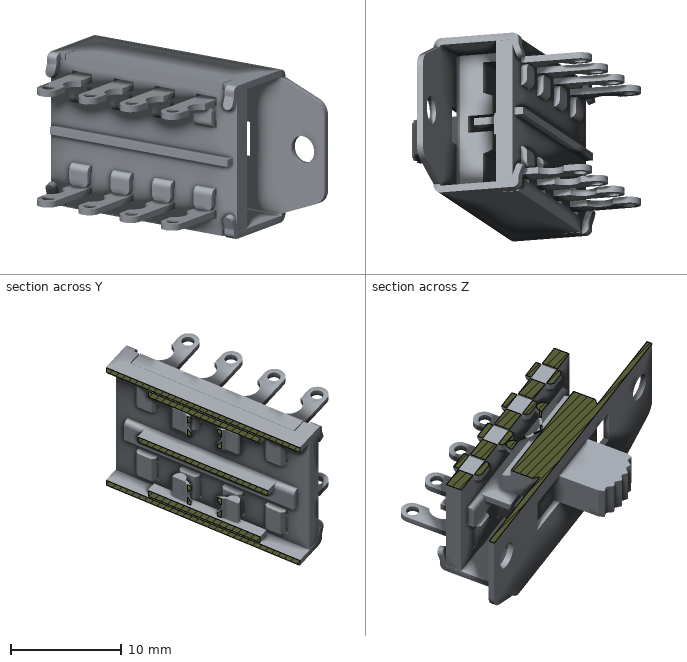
import cadquery as cq


overall_length = 30.23
frame_length = 20.75
frame_height = 14.4
plate_thickness = 0.57
wall_thickness = 0.63
wall_end_y = -7.5
bend_radius = 0.73
inner_bend_radius = 0.15
flange_root_height = 12.75
flange_tip_height = 9.07
flange_corner_radius = 1.48
mount_hole_diameter = 2.55
mount_hole_spacing = 25.4
window_length = 13.72
window_height = 3.4

ear_width = 1.03
ear_thickness = 0.57
ear_pivot_z = 6.15
ear_blade_length = 1.33
ear_lean_degrees = 19.0
ear_bend_radius = 0.55

board_back_y = -6.0
board_thickness = 1.57
board_length = 20.68
board_tab_length = 17.38
notch_length = 17.6
notch_clearance = 0.03

terminal_pitch = 4.6
terminals_per_row = 4
terminal_width = 2.03
terminal_thickness = 0.57
terminal_top_z = 5.5
terminal_bottom_z = 2.85
terminal_end_y = -13.95
terminal_hole_diameter = 1.18
terminal_hole_y = -12.85
contact_base_thickness = 0.63
contact_base_chamfer = 0.27
bite_radius = 1.4
bite_depth = 0.8
bite_y = -10.43
clinch_tip_z = 4.87
clinch_bend_radius = 0.63
clinch_tip_radius = 0.55
slot_width = 2.25
leg_slot_height = 0.85
clinch_slot_height = 0.8
clinch_slot_clearance = 0.03

barrier_length = 19.65
barrier_inner_length = 13.9
barrier_foot_length = 18.15
barrier_thickness = 0.65
barrier_back_y = -2.72
barrier_front_y = -8.4
barrier_foot_z = -1.85
barrier_foot_radius = 0.5

slider_x = -0.12
slider_length = 12.0
slider_height = 12.88
slider_chamfer = 0.48
slider_skirt_y = -5.38
slider_rib_y = -4.2
channel_floor_y = -3.3
channel_top_z = 5.68
channel_bottom_z = 2.85
rib_flank_z = 2.5
center_slot_height = 1.57
center_slot_floor_y = -1.85
knob_width = 5.55
knob_height = 3.23
knob_shoulder_y = 4.02
knob_valley_y = 4.9
knob_serrations = [(0.55, 5.3), (1.05, 4.8), (1.6, 5.02), (2.03, 4.45), (2.6, 4.55)]
post_width = 0.9
post_tip_y = -4.23
post_tip_radius = 0.18

bridge_width = 2.35
bridge_thickness = 0.18
bridge_crown = 0.12
bridge_ramp_run = 2.15
bridge_shelf_y = -4.53
bridge_half_length = 3.5
bridge_foot_length = 1.27
bridge_hole_diameter = 1.6

half_frame = frame_length / 2
half_height = frame_height / 2
board_height = frame_height - 2 * wall_thickness
board_front_y = board_back_y - board_thickness
contact_base_y = board_back_y + contact_base_thickness
row_z = (terminal_top_z + terminal_bottom_z) / 2
bridge_ramp_x = (bridge_crown + bridge_ramp_run) / 2
row_xs = [(i - (terminals_per_row - 1) / 2) * terminal_pitch for i in range(terminals_per_row)]


def box(x_range, y_range, z_range):
    """Box between two values on each axis, given in either order."""
    (x0, x1), (y0, y1), (z0, z1) = (sorted(pair) for pair in (x_range, y_range, z_range))
    return cq.Workplane("XY").box(x1 - x0, y1 - y0, z1 - z0, centered=False).translate((x0, y0, z0))


def centered_box(length, y_range, height):
    """Box centered on the Y axis."""
    return box((-length / 2, length / 2), y_range, (-height / 2, height / 2))


def extrude_along_x(points, length):
    """Extrude a closed (Y, Z) outline to both sides of X = 0."""
    return cq.Workplane("YZ").polyline(points).close().extrude(length / 2, both=True)


def cylinder_along_y(diameter, x, z, y_from, y_to):
    """Round bar parallel to Y."""
    plane = cq.Workplane("XZ", origin=(x, y_from, z))
    return plane.circle(diameter / 2).extrude(y_from - y_to)


def upright_cylinder(diameter, x, y, z_range):
    """Round bar parallel to Z."""
    plane = cq.Workplane("XY", origin=(x, y, z_range[0]))
    return plane.circle(diameter / 2).extrude(z_range[1] - z_range[0])


def half_turn(body):
    """Copy of a body turned 180 degrees about the Y axis."""
    return body.rotate((0, 0, 0), (0, 1, 0), 180)


def make_flange_plate():
    root_z = flange_root_height / 2
    tip_z = flange_tip_height / 2
    tip_x = overall_length / 2
    outline = [(half_frame, root_z), (tip_x, tip_z), (tip_x, -tip_z), (half_frame, -root_z)]
    outline += [(-x, -z) for x, z in outline]
    plate = cq.Workplane("XZ").polyline(outline).close().extrude(plate_thickness)
    plate = plate.edges("|Y and (>X or <X)").fillet(flange_corner_radius)
    for side in (-1, 1):
        hole_x = side * mount_hole_spacing / 2
        plate = plate.cut(cylinder_along_y(mount_hole_diameter, hole_x, 0, 0, -plate_thickness))
    return plate


def make_channel():
    outer = centered_box(frame_length, (0, wall_end_y), frame_height)
    outer = outer.edges("|X and >Y").fillet(bend_radius)
    inner = centered_box(frame_length, (-plate_thickness, wall_end_y), board_height)
    inner = inner.edges("|X and >Y").fillet(inner_bend_radius)
    notch = centered_box(notch_length, (board_back_y + notch_clearance, wall_end_y), frame_height)
    return outer.cut(inner).cut(notch)


def make_ear():
    """Ear at the -X end of the top wall: a bend over the board edge, then a blade leaning away from it."""
    ear_x = -half_frame + ear_width / 2
    x_range = (-half_frame, -half_frame + ear_width)
    outer_y = board_front_y - ear_thickness

    bend = box(x_range, (board_back_y, outer_y), (ear_pivot_z, half_height))
    bend = bend.edges("|X and <Y and >Z").fillet(ear_bend_radius)
    bend = bend.cut(box(x_range, (board_back_y, board_front_y), (ear_pivot_z, board_height / 2)))

    tip_center_z = ear_pivot_z - ear_blade_length + ear_width / 2
    blade = box(x_range, (board_front_y, outer_y), (tip_center_z, ear_pivot_z))
    blade = blade.union(cylinder_along_y(ear_width, ear_x, tip_center_z, board_front_y, outer_y))
    pivot_start = (0, board_front_y, ear_pivot_z)
    pivot_end = (1, board_front_y, ear_pivot_z)
    blade = blade.rotate(pivot_start, pivot_end, -ear_lean_degrees)
    return bend.union(blade)


def make_frame():
    frame = make_flange_plate().union(make_channel())
    frame = frame.cut(centered_box(window_length, (0, -plate_thickness), window_height))
    ear = make_ear()
    for top_ear in (ear, ear.mirror("YZ")):
        frame = frame.union(top_ear).union(top_ear.mirror("XY"))
    return frame


def make_board():
    board_span = (board_back_y, board_front_y)
    board = centered_box(board_length, board_span, board_height)
    board = board.union(centered_box(board_tab_length, board_span, frame_height))
    leg_slot_z = terminal_top_z - terminal_thickness
    clinch_slot_z = terminal_bottom_z - clinch_slot_clearance
    for x in row_xs:
        slot_x = (x - slot_width / 2, x + slot_width / 2)
        leg_slot = box(slot_x, board_span, (leg_slot_z, leg_slot_z + leg_slot_height))
        clinch_slot = box(slot_x, board_span, (clinch_slot_z, clinch_slot_z + clinch_slot_height))
        for slot in (leg_slot, clinch_slot):
            board = board.cut(slot).cut(half_turn(slot))
    return board


def make_barrier():
    outer_blade = centered_box(barrier_length, (board_back_y, barrier_front_y), barrier_thickness)
    inner_blade = centered_box(barrier_inner_length, (barrier_back_y, board_back_y), barrier_thickness)
    foot = box(
        (-barrier_foot_length / 2, barrier_foot_length / 2),
        (contact_base_y, board_back_y),
        (barrier_foot_z, barrier_thickness / 2),
    )
    foot = foot.edges("|X and >Y and >Z").fillet(barrier_foot_radius)
    return outer_blade.union(inner_blade).union(foot)


def make_terminal(x):
    """Terminal of the upper row: contact base, solder leg and clinched holding tab."""
    x_range = (x - terminal_width / 2, x + terminal_width / 2)

    base = box(x_range, (contact_base_y, board_back_y), (terminal_bottom_z, terminal_top_z))
    base = base.edges("|Z and >Y").chamfer(contact_base_chamfer)

    leg_z = (terminal_top_z - terminal_thickness, terminal_top_z)
    end_center_y = terminal_end_y + terminal_width / 2
    leg = box(x_range, (board_back_y, end_center_y), leg_z)
    leg = leg.union(upright_cylinder(terminal_width, x, end_center_y, leg_z))
    bite_x = x_range[1] - bite_depth + bite_radius
    leg = leg.cut(upright_cylinder(terminal_hole_diameter, x, terminal_hole_y, leg_z))
    leg = leg.cut(upright_cylinder(2 * bite_radius, bite_x, bite_y, leg_z))

    clinch_y = board_front_y - terminal_thickness
    stem_z = (terminal_bottom_z, terminal_bottom_z + terminal_thickness)
    clinch = box(x_range, (board_front_y, clinch_y), (terminal_bottom_z, clinch_tip_z))
    clinch = clinch.edges("|Y and >Z").fillet(clinch_tip_radius)
    clinch = clinch.union(box(x_range, (board_back_y, clinch_y), stem_z))
    clinch = clinch.edges("|X and <Y and <Z").fillet(clinch_bend_radius)
    return base.union(leg).union(clinch)


def make_slider():
    half_slot = center_slot_height / 2
    top_z = slider_height / 2
    upper_half = [
        (center_slot_floor_y, half_slot),
        (slider_rib_y, half_slot),
        (slider_rib_y, rib_flank_z),
        (channel_floor_y, channel_bottom_z),
        (channel_floor_y, channel_top_z),
        (slider_skirt_y, channel_top_z),
        (slider_skirt_y, top_z),
        (-plate_thickness, top_z),
    ]
    lower_half = [(y, -z) for y, z in reversed(upper_half)]
    slider = extrude_along_x(upper_half + lower_half, slider_length)
    slider = slider.edges("|Z and >Y").chamfer(slider_chamfer)
    half_post = post_width / 2
    for post_x in (-bridge_ramp_x, bridge_ramp_x):
        post = box(
            (post_x - half_post, post_x + half_post),
            (channel_floor_y, post_tip_y),
            (row_z - half_post, row_z + half_post),
        )
        post = post.edges("|X and <Y").fillet(post_tip_radius)
        slider = slider.union(post).union(half_turn(post))
    return slider.translate((slider_x, 0, 0))


def make_knob():
    """Knob with finger serrations across its end."""
    right_side = knob_serrations + [
        (knob_width / 2, knob_shoulder_y),
        (knob_width / 2, -plate_thickness),
    ]
    middle_valley = (0, knob_valley_y)
    left_side = [(-x, y) for x, y in reversed(right_side)]
    outline = left_side + [middle_valley] + right_side
    knob = cq.Workplane("XY").polyline(outline).close().extrude(knob_height / 2, both=True)
    return knob.translate((slider_x, 0, 0))


def make_bridge():
    """Upper bridging contact: a V-shaped spring strip standing on two rounded feet."""
    shelf_x = bridge_crown / 2 + bridge_ramp_run
    foot_x = bridge_half_length - bridge_foot_length
    foot_mid_x = bridge_half_length - bridge_foot_length / 2
    under_y = bridge_shelf_y - bridge_thickness
    strip = (
        cq.Workplane("XY")
        .moveTo(-bridge_crown / 2, channel_floor_y)
        .lineTo(bridge_crown / 2, channel_floor_y)
        .lineTo(shelf_x, bridge_shelf_y)
        .lineTo(bridge_half_length, bridge_shelf_y)
        .lineTo(bridge_half_length, under_y)
        .threePointArc((foot_mid_x, contact_base_y), (foot_x, under_y))
        .lineTo(shelf_x - bridge_thickness, under_y)
        .lineTo(0, channel_floor_y - bridge_thickness)
        .lineTo(-shelf_x + bridge_thickness, under_y)
        .lineTo(-foot_x, under_y)
        .threePointArc((-foot_mid_x, contact_base_y), (-bridge_half_length, under_y))
        .lineTo(-bridge_half_length, bridge_shelf_y)
        .lineTo(-shelf_x, bridge_shelf_y)
        .close()
        .extrude(bridge_width / 2, both=True)
    )
    strip = strip.translate((0, 0, row_z))
    ramp_drop = channel_floor_y - bridge_shelf_y
    ramp_y = (channel_floor_y + bridge_shelf_y) / 2
    for side in (-1, 1):
        hole_plane = cq.Plane(
            origin=(side * bridge_ramp_x, ramp_y, row_z),
            xDir=(0, 0, 1),
            normal=(side * ramp_drop, bridge_ramp_run, 0),
        )
        hole = cq.Workplane(hole_plane).circle(bridge_hole_diameter / 2)
        hole = hole.extrude(2 * bridge_thickness, both=True)
        strip = strip.cut(hole)
    return strip


result = make_frame().union(make_board()).union(make_barrier())
for terminal_x in row_xs:
    terminal = make_terminal(terminal_x)
    result = result.union(terminal).union(half_turn(terminal))
result = result.union(make_slider()).union(make_knob())
bridge = make_bridge()
for bridge_copy in (bridge, half_turn(bridge)):
    result = result.union(bridge_copy.translate((slider_x, 0, 0)))